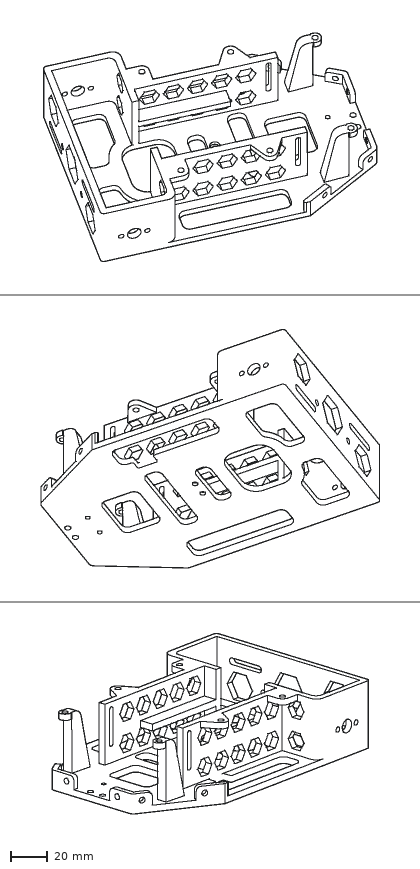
import cadquery as cq
import math


length = 168.0
width = 114.0
height = 40.0
plate = 4.0
half_width = width / 2
overcut = 0.8

shoulder_y = 121.0
slope_angle = math.radians(60)
nose_radius = 3.4
slope_cos = math.cos(slope_angle)
slope_sin = math.sin(slope_angle)
slope_length = (length - shoulder_y) / slope_sin
nose_half = half_width - slope_length * slope_cos

window_radius = 4.0
big_window_half = 18.0
big_window_y = (32.0, 62.0)
big_window_radius = 9.0
nose_window_half = 15.0
nose_window_y = (114.9, 138.6)
narrow_window_y = (70.2, 79.8)
wide_window_half = 24.0
wide_window_y = (96.1, 106.8)
side_slot_x = (37.0, 50.9)
side_slot_y = (50.0, 112.9)
notch_y = (93.2, 105.7)
notch_radius = 1.0
pocket_x = (7.7, 45.2)
pocket_y = (12.0, big_window_y[0])
pocket_web = 7.2

screw_x = 4.5
nose_screw_y = 164.0
nose_screw_hole = 3.4
middle_screw_y = 84.0
middle_screw_hole = 3.0
counterbore = 5.7
counterbore_depth = plate / 2
small_hole_x = 7.0
small_hole_y = 150.0
small_hole = 2.5

box_wall = 4.0
box_depth = 44.0
box_front_radius = 2.0
box_back_radius = 5.0
box_inner_radius = 4.0
box_inner_y = box_depth - box_wall

centre_hex = 20.0
side_hex = 16.1
side_hex_x = 36.0
side_hex_shift = 6.0
front_hole_x = 18.5
front_hole_z = 15.0
front_hole = 3.4
front_slot_x = 31.8
front_slot_size = (23.5, 3.9)
front_slot_left_z = 8.2
front_slot_right_z = 28.0

shaft_y = 19.2
shaft_z = 18.0
shaft_hole = 7.7
shaft_screw_offset = 7.5
shaft_screw_hole = 3.0

wall_inner = 26.7
wall_outer = 31.0
wall_end = 127.0
shelf_end = 97.1
shelf_bottom = 18.1
shelf_thick = 4.0
wall_slot_y = 121.6
wall_slot_z = 25.4
wall_slot_size = (23.2, 2.9)

hex_flats = 10.0
hex_rows = (12.1, 30.5)
hex_first_y = 52.8
hex_pitch = 14.0
hex_count = 5
back_hex_x = 41.3

tab_thick = 3.7
tab_bottom = height - tab_thick
tab_radius = 4.4
tab_hole = 3.4
tab_x = 38.1
tab_end = tab_x + tab_radius
front_tab_y = 51.7
rear_tab_y = 103.2
rear_tab_root = 9.0

post_x = 35.0
post_front = 134.4
post_back = 148.8
post_top_front = 141.8
post_half_front = 3.9
post_half_back = 3.2
post_half_top = 3.0
post_round = 5.5
post_head_y = 151.0
post_head_start = 149.4
post_head_radius = 3.5
post_hole = 3.4

flange_height = 12.0
flange_thick = 3.2
flange_round = 2.7
flange_hole = 3.4
flange_hole_z = 7.7
tip_flange_end = 13.3
tip_hole_x = 18.8
corner_leg = 12.0
corner_hole = 5.9
shoulder_leg = 16.8
shoulder_hole = 11.8
shoulder_flange_end = 117.6
shoulder_bevel = (0.5, 1.2)


def block(x_range, y_range, z_range):
    """Box spanning the given ranges."""
    sizes = [high - low for low, high in (x_range, y_range, z_range)]
    return cq.Workplane("XY").box(*sizes, centered=False).translate((x_range[0], y_range[0], z_range[0]))


def symmetric(half):
    return (-half, half)


def beyond(low, high):
    """Range stretched past both ends, for cutters."""
    return (low - overcut, high + overcut)


def rod(x, y, diameter, z_range):
    """Upright cylinder."""
    return cq.Workplane("XY", origin=(x, y, z_range[0])).circle(diameter / 2).extrude(z_range[1] - z_range[0])


def prism(points, top):
    """Upright prism from the underside to the given height."""
    return cq.Workplane("XY").polyline(points).close().extrude(top)


def through_x(half_reach):
    """Sketch plane with local axes Y and Z, for cutters running from -X to +X."""
    return cq.Workplane("YZ", origin=(-half_reach - overcut, 0, 0)), 2 * (half_reach + overcut)


def through_y(y_start, y_end):
    """Sketch plane with local axes X and Z, for cutters running toward +Y."""
    return cq.Workplane("XZ", origin=(0, y_start - overcut, 0)), -(y_end - y_start + 2 * overcut)


def corner_diameter(flats):
    return flats / math.cos(math.pi / 6)


def both_sides(solid):
    return solid.union(solid.mirror("YZ"))


def fillet_near(solid, point, radius):
    return solid.edges(cq.selectors.NearestToPointSelector(point)).fillet(radius)


def outline(top):
    """Pointed outer outline, from the underside to the given height."""
    right = [(half_width, 0), (half_width, shoulder_y), (nose_half, length)]
    left = [(-x, y) for x, y in reversed(right)]
    body = prism(right + left, top)
    body = body.edges("|Z and >Y").fillet(nose_radius)
    return body.edges("|Z and <Y").fillet(box_front_radius)


def window(x_range, y_range, radius=window_radius):
    """Cutter for a rounded rectangular opening."""
    return block(x_range, y_range, beyond(0, plate)).edges("|Z").fillet(radius)


def pocket():
    """Cutter for the right-hand opening in the box floor, bounded by an arc around the big window."""
    arc_x = big_window_half - big_window_radius
    arc_y = big_window_y[0] + big_window_radius
    arc_diameter = 2 * (big_window_radius + pocket_web)
    body = block(pocket_x, pocket_y, beyond(0, plate))
    body = body.cut(rod(arc_x, arc_y, arc_diameter, beyond(0, plate)))
    return body.edges("|Z").fillet(window_radius)


def notched_slot():
    """Cutter for the left side slot, which alone widens as far as the side wall."""
    slot = window(side_slot_x, side_slot_y).mirror("YZ")
    slot_middle = -sum(side_slot_x) / 2
    slot = slot.union(window((slot_middle, -wall_outer), notch_y, notch_radius))
    for y in notch_y:
        slot = fillet_near(slot, (-side_slot_x[0], y, plate / 2), notch_radius)
    return slot


def plate_windows():
    cut = window(symmetric(big_window_half), big_window_y, big_window_radius)
    cut = cut.union(window(symmetric(nose_window_half), narrow_window_y))
    cut = cut.union(window(symmetric(wide_window_half), wide_window_y))
    cut = cut.union(window(symmetric(nose_window_half), nose_window_y))
    cut = cut.union(both_sides(pocket()))
    return cut.union(window(side_slot_x, side_slot_y)).union(notched_slot())


def plate_holes():
    holes = rod(screw_x, nose_screw_y, nose_screw_hole, beyond(0, plate))
    holes = holes.union(rod(small_hole_x, small_hole_y, small_hole, beyond(0, plate)))
    holes = holes.union(rod(screw_x, middle_screw_y, middle_screw_hole, beyond(0, plate)))
    counterbore_z = (plate - counterbore_depth, plate + overcut)
    holes = holes.union(rod(screw_x, middle_screw_y, counterbore, counterbore_z))
    return both_sides(holes)


def box_shell():
    """Open-topped box without a floor, with the middle of its back wall left out."""
    outer = block(symmetric(half_width), (0, box_depth), (0, height))
    outer = outer.edges("|Z and <Y").fillet(box_front_radius)
    outer = outer.edges("|Z and >Y").fillet(box_back_radius)
    inner = block(symmetric(half_width - box_wall), (box_wall, box_inner_y), beyond(0, height))
    inner = inner.edges("|Z and >Y").fillet(box_inner_radius)
    gap = block(symmetric(big_window_half), beyond(box_inner_y, box_depth), beyond(0, height))
    return outer.cut(inner).cut(gap)


def box_front_openings():
    plane, depth = through_y(0, box_wall)
    mid = height / 2
    side_hexes = [(-side_hex_x, mid + side_hex_shift), (side_hex_x, mid - side_hex_shift)]
    slots = [(-front_slot_x, front_slot_left_z), (front_slot_x, front_slot_right_z)]
    holes = [(-front_hole_x, front_hole_z), (front_hole_x, front_hole_z)]
    cut = plane.center(0, mid).polygon(6, corner_diameter(centre_hex)).extrude(depth)
    cut = cut.union(plane.pushPoints(side_hexes).polygon(6, corner_diameter(side_hex)).extrude(depth))
    cut = cut.union(plane.pushPoints(slots).slot2D(*front_slot_size).extrude(depth))
    return cut.union(plane.pushPoints(holes).circle(front_hole / 2).extrude(depth))


def box_back_hexes():
    plane, depth = through_y(box_inner_y, box_depth)
    centres = [(x, z) for x in symmetric(back_hex_x) for z in hex_rows]
    return plane.pushPoints(centres).polygon(6, corner_diameter(hex_flats)).extrude(depth)


def box_side_holes():
    plane, depth = through_x(half_width)
    plane = plane.center(shaft_y, shaft_z)
    screws = [(-shaft_screw_offset, 0), (shaft_screw_offset, 0)]
    shaft = plane.circle(shaft_hole / 2).extrude(depth)
    return shaft.union(plane.pushPoints(screws).circle(shaft_screw_hole / 2).extrude(depth))


def front_tab():
    """Rounded tab between the right-hand side wall and the box."""
    body = block((wall_inner, tab_end), (box_inner_y, front_tab_y + tab_radius), (tab_bottom, height))
    return body.edges("|Z and >X and >Y").fillet(tab_radius)


def rear_tab():
    """Triangular tab with a round tip on the right-hand side wall."""
    tangent_x = tab_x + tab_radius * math.sin(math.pi / 6)
    tangent_y = tab_radius * math.cos(math.pi / 6)
    return (
        cq.Workplane("XY", origin=(0, rear_tab_y, tab_bottom))
        .moveTo(wall_inner, -rear_tab_root)
        .lineTo(wall_outer, -rear_tab_root)
        .lineTo(tangent_x, -tangent_y)
        .threePointArc((tab_end, 0), (tangent_x, tangent_y))
        .lineTo(wall_outer, rear_tab_root)
        .lineTo(wall_inner, rear_tab_root)
        .close()
        .extrude(tab_thick)
    )


def side_wall():
    """Right-hand wall with its inner shelf and two drilled tabs."""
    body = block((wall_inner, wall_outer), (box_inner_y, wall_end), (0, height))
    shelf_z = (shelf_bottom, shelf_bottom + shelf_thick)
    body = body.union(block((big_window_half, wall_inner), (box_inner_y, shelf_end), shelf_z))
    body = body.union(front_tab()).union(rear_tab())
    for y in (front_tab_y, rear_tab_y):
        body = body.cut(rod(tab_x, y, tab_hole, beyond(tab_bottom, height)))
    return body


def side_wall_openings():
    """Hexagon rows and the upright slot, cut through both walls."""
    plane, depth = through_x(wall_outer)
    centres = [(hex_first_y + i * hex_pitch, z) for i in range(hex_count) for z in hex_rows]
    hexes = plane.pushPoints(centres).polygon(6, corner_diameter(hex_flats)).extrude(depth)
    slot = plane.center(wall_slot_y, wall_slot_z).slot2D(*wall_slot_size, 90).extrude(depth)
    return hexes.union(slot)


def post():
    """Right-hand post, narrowing upward and toward its back, with an overhanging drilled head."""
    profile = [(post_front, plate), (post_back, plate), (post_back, height), (post_top_front, height)]
    start_x = post_x - post_half_front
    side = cq.Workplane("YZ", origin=(start_x, 0, 0)).polyline(profile).close().extrude(2 * post_half_front)
    side = fillet_near(side, (post_x, post_top_front, height), post_round)
    foot = [
        (-post_half_front, post_front),
        (post_half_front, post_front),
        (post_half_back, post_back),
        (-post_half_back, post_back),
    ]
    top = [
        (-post_half_top, post_front),
        (post_half_top, post_front),
        (post_half_top, post_back),
        (-post_half_top, post_back),
    ]
    taper = (
        cq.Workplane("XY", origin=(post_x, 0, plate))
        .polyline(foot)
        .close()
        .workplane(offset=height - plate)
        .polyline(top)
        .close()
        .loft(ruled=True)
    )
    body = side.intersect(taper)

    head_z = (tab_bottom, height)
    neck_x = (post_x - post_half_top, post_x + post_half_top)
    head_x = (post_x - post_head_radius, post_x + post_head_radius)
    body = body.union(block(neck_x, (post_back - overcut, post_head_y), head_z))
    body = body.union(block(head_x, (post_head_start, post_head_y), head_z))
    body = body.union(rod(post_x, post_head_y, 2 * post_head_radius, head_z))
    return body.cut(rod(post_x, post_head_y, post_hole, beyond(*head_z)))


def slope_point(distance, inset=0.0):
    """Point at a distance down the right-hand slope from the nose corner, inset from the edge."""
    x = nose_half + distance * slope_cos - inset * slope_sin
    y = length - distance * slope_sin - inset * slope_cos
    return (x, y)


def slope_hole(distance):
    """Cutter for a hole square to the right-hand slope."""
    plane = cq.Plane(
        origin=(*slope_point(distance), flange_hole_z),
        xDir=(slope_cos, -slope_sin, 0),
        normal=(slope_sin, slope_cos, 0),
    )
    return cq.Workplane(plane).circle(flange_hole / 2).extrude(2 * flange_thick, both=True)


def corner_flange():
    """Right-hand bent flange around the nose corner."""
    inner_y = length - flange_thick
    bend_inner = (nose_half - flange_thick * math.tan(slope_angle / 2), inner_y)
    tip_plan = [(tip_flange_end, length), (nose_half, length), bend_inner, (tip_flange_end, inner_y)]
    tip = prism(tip_plan, flange_height)
    tip = fillet_near(tip, (tip_flange_end, length - flange_thick / 2, flange_height), flange_round)
    plane, depth = through_y(inner_y, length)
    tip = tip.cut(plane.center(tip_hole_x, flange_hole_z).circle(flange_hole / 2).extrude(depth))

    leg_plan = [
        (nose_half, length),
        slope_point(corner_leg),
        slope_point(corner_leg, flange_thick),
        bend_inner,
    ]
    leg = prism(leg_plan, flange_height)
    leg = fillet_near(leg, (*slope_point(corner_leg, flange_thick / 2), flange_height), flange_round)
    return tip.union(leg.cut(slope_hole(corner_hole)))


def shoulder_flange():
    """Right-hand flange that ends just past the shoulder."""
    start = slope_length - shoulder_leg
    bevel_x, bevel_y = shoulder_bevel
    inner_x, inner_y = slope_point(slope_length, flange_thick)
    end_inner_x = inner_x + (inner_y - shoulder_flange_end) / math.tan(slope_angle)
    body = prism(
        [
            slope_point(start),
            (half_width, shoulder_y),
            (half_width, shoulder_flange_end + bevel_y),
            (half_width - bevel_x, shoulder_flange_end),
            (end_inner_x, shoulder_flange_end),
            slope_point(start, flange_thick),
        ],
        flange_height,
    )
    body = fillet_near(body, (*slope_point(start, flange_thick / 2), flange_height), flange_round)
    return body.cut(slope_hole(slope_length - shoulder_hole))


base = outline(plate).cut(plate_windows()).cut(plate_holes())
box = box_shell().cut(box_front_openings()).cut(box_back_hexes()).cut(box_side_holes())
walls = both_sides(side_wall()).cut(side_wall_openings())
posts = both_sides(post())
flanges = both_sides(corner_flange().union(shoulder_flange())).intersect(outline(flange_height))

result = base.union(box).union(walls).union(posts).union(flanges)